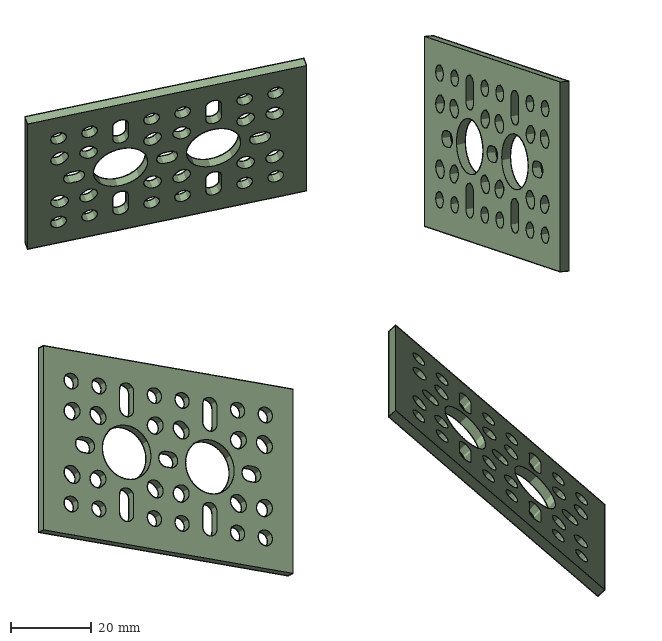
import cadquery as cq
import math

length = 72.0
thickness = 2.5
pitches_long = 9
pitches_high = 6
pitch = length / pitches_long
height = pitches_high * pitch
hole_diameter = 4.0
bore_diameter = 14.0
diagonal_slot_travel = 0.7
diagonal_angle = 45

bore_offset = 1.5 * pitch
hole_columns = [0.5 * pitch, 2.5 * pitch, 3.5 * pitch]
outer_row = 2 * pitch
inner_row = pitch
bolt_radius = math.hypot(pitch, pitch)

side_slot_offset = 2 * bore_offset
side_slot_travel = 2 * (bore_offset - bolt_radius)

vertical_slot_travel = outer_row - bolt_radius
vertical_slot_centre = (outer_row + bolt_radius) / 2


def cut_slot(body, y, z, travel, angle):
    """Cut a through slot centred at (y, z); angle is measured from +Y toward +Z."""
    return (
        body.faces(">X").workplane(origin=(0, 0, 0))
        .pushPoints([(y, z)])
        .slot2D(travel + hole_diameter, hole_diameter, angle)
        .cutThruAll()
    )


def cut_round_holes(body, points, diameter):
    """Cut round through holes at the given (y, z) points."""
    return body.faces(">X").workplane(origin=(0, 0, 0)).pushPoints(points).hole(diameter)


result = cq.Workplane("XY").box(thickness, length, height)

result = cut_round_holes(result, [(-bore_offset, 0), (bore_offset, 0)], bore_diameter)

outer_points = [
    (side * y, level * outer_row) for y in hole_columns for side in (-1, 1) for level in (-1, 1)
]
result = cut_round_holes(result, outer_points, hole_diameter)

for y in (-side_slot_offset, 0, side_slot_offset):
    result = cut_slot(result, y, 0, side_slot_travel, 0)

for side in (-1, 1):
    for level in (-1, 1):
        result = cut_slot(
            result, side * bore_offset, level * vertical_slot_centre, vertical_slot_travel, 90
        )

half_step = diagonal_slot_travel / 2 * math.cos(math.radians(diagonal_angle))
column_leans = (-1, 1, -1)
for column, lean in zip(hole_columns, column_leans):
    for side in (-1, 1):
        for level in (-1, 1):
            slot_y = side * (column + lean * half_step)
            slot_z = level * (inner_row + half_step)
            angle = diagonal_angle * side * level * lean
            result = cut_slot(result, slot_y, slot_z, diagonal_slot_travel, angle)